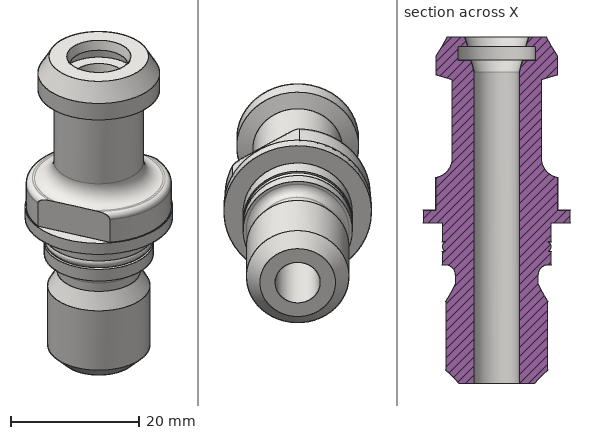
import cadquery as cq
import math

height = 54.0
flange_dia = 23.0

shank_dia = 16.0
end_chamfer_width = 2.1
end_chamfer_height = 2.1
shank_top = 12.8
relief_dia = 13.0
relief_bottom = 15.45
relief_fillet = 1.5

pilot_dia = 17.0
pilot_bottom = 18.45
ring_bottom = 20.6
ring_height = 1.5
groove_dia = 16.0

flange_bottom = 25.0
flange_top = 27.0
collar_dia = 22.6
collar_top = 32.1
collar_round = 0.95
flat_spacing = 19.0

neck_dia = 14.0
neck_fillet = 3.0
head_dia = 19.0
head_top_dia = 15.5
head_underside = 47.3
head_bottom = 48.05
head_chamfer_bottom = 51.05

bore_dia = 7.0
mouth_dia = 10.0
lip_dia = 9.0
lip_depth = 1.5
recess_dia = 12.0
recess_depth = 3.6
bore_entry_dia = 8.05
bore_entry_depth = 5.5


def arc_point(center_x, center_z, radius, degrees):
    """Point on an arc at the given angle around its centre."""
    angle = math.radians(degrees)
    return center_x + radius * math.cos(angle), center_z + radius * math.sin(angle)


def make_body():
    """Revolve the outer profile from the bottom end to the top end."""
    shank_r = shank_dia / 2
    relief_r = relief_dia / 2
    pilot_r = pilot_dia / 2
    groove_r = groove_dia / 2
    collar_r = collar_dia / 2
    neck_r = neck_dia / 2
    head_r = head_dia / 2
    ring_top = ring_bottom + ring_height

    relief_arc_r = relief_r + relief_fillet
    relief_arc_z = pilot_bottom - relief_fillet
    round_r = collar_r - collar_round
    round_z = collar_top - collar_round
    neck_arc_r = neck_r + neck_fillet
    neck_arc_z = collar_top + neck_fillet

    profile = (
        cq.Workplane("XZ")
        .lineTo(shank_r - end_chamfer_width, 0)
        .lineTo(shank_r, end_chamfer_height)
        .lineTo(shank_r, shank_top)
        .lineTo(relief_r, relief_bottom)
        .lineTo(relief_r, relief_arc_z)
        .threePointArc(
            arc_point(relief_arc_r, relief_arc_z, relief_fillet, 135),
            (relief_arc_r, pilot_bottom),
        )
        .lineTo(pilot_r, pilot_bottom)
        .lineTo(pilot_r, ring_bottom)
        .lineTo(groove_r, ring_bottom)
        .threePointArc((pilot_r, ring_bottom + ring_height / 2), (groove_r, ring_top))
        .lineTo(pilot_r, ring_top)
        .lineTo(pilot_r, flange_bottom)
        .lineTo(flange_dia / 2, flange_bottom)
        .lineTo(flange_dia / 2, flange_top)
        .lineTo(collar_r, flange_top)
        .lineTo(collar_r, round_z)
        .threePointArc(
            arc_point(round_r, round_z, collar_round, 45),
            (round_r, collar_top),
        )
        .lineTo(neck_arc_r, collar_top)
        .threePointArc(
            arc_point(neck_arc_r, neck_arc_z, neck_fillet, 225),
            (neck_r, neck_arc_z),
        )
        .lineTo(neck_r, head_underside)
        .lineTo(head_r, head_bottom)
        .lineTo(head_r, head_chamfer_bottom)
        .lineTo(head_top_dia / 2, height)
        .lineTo(0, height)
        .close()
    )
    return profile.revolve(360, (0, 0, 0), (0, 1, 0))


def make_bore():
    """Revolve the through bore with its tapered mouth and undercut recess."""
    recess_floor = height - recess_depth
    lip_bottom = height - lip_depth
    profile = (
        cq.Workplane("XZ")
        .lineTo(bore_dia / 2, 0)
        .lineTo(bore_dia / 2, height - bore_entry_depth)
        .lineTo(bore_entry_dia / 2, recess_floor)
        .lineTo(recess_dia / 2, recess_floor)
        .lineTo(recess_dia / 2, lip_bottom)
        .lineTo(lip_dia / 2, lip_bottom)
        .lineTo(mouth_dia / 2, height)
        .lineTo(0, height)
        .close()
    )
    return profile.revolve(360, (0, 0, 0), (0, 1, 0))


def make_flat_cutter(side):
    """Block that cuts one wrench flat through the collar; side is -1 or +1 along Y."""
    cut_depth = (flange_dia - flat_spacing) / 2
    center_y = side * (flat_spacing + cut_depth) / 2
    return (
        cq.Workplane("XY", origin=(0, center_y, flange_top))
        .rect(flange_dia, cut_depth)
        .extrude(collar_top + neck_fillet - flange_top)
    )


result = make_body().cut(make_bore())
for flat_side in (-1, 1):
    result = result.cut(make_flat_cutter(flat_side))